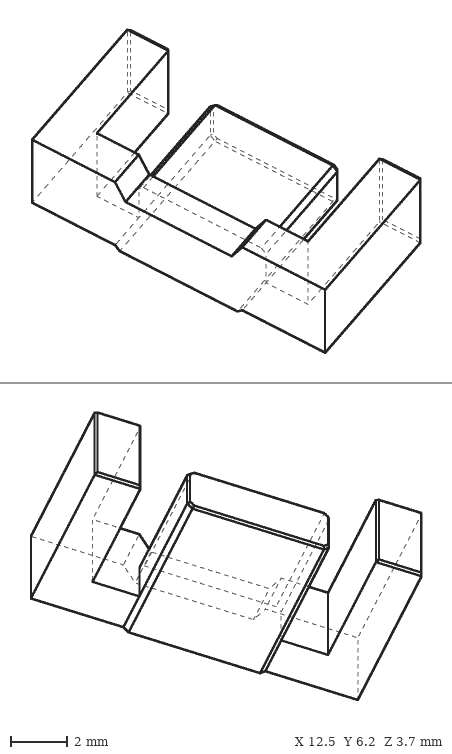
import cadquery as cq
import math

length = 12.5
depth = 6.2
height = 3.7

back_thickness = 1.52
outer_leg_width = 1.75
centre_leg_width = 5.42
centre_leg_height = 2.0
centre_leg_bevel = 0.2
centre_leg_drop = 0.2

notch_depth = 0.8
notch_side_run = 0.45

tip_length = 0.1
tip_inset = 0.08

half_length = length / 2
half_centre = centre_leg_width / 2


def bevelled_leg(width, base, top, centre_x, long_bevel=0.0):
    """Leg along +Y, with optional long-edge bevels and a bevelled free end."""
    leg = (
        cq.Workplane("XY")
        .box(width, depth - tip_length, top - base, centered=(True, False, False))
        .translate((centre_x, 0, base))
    )
    if long_bevel > 0:
        leg = leg.edges("|Y").chamfer(long_bevel)
    tip_taper = math.degrees(math.atan(tip_inset / tip_length))
    return leg.faces(">Y").wires().toPending().workplane().extrude(tip_length, taper=tip_taper)


def notched_back():
    """Back wall across all three legs, with a sloped notch in its top."""
    notch_floor = height - notch_depth
    half_floor = half_centre - notch_side_run
    return (
        cq.Workplane("XZ")
        .polyline([
            (-half_length, centre_leg_drop),
            (half_length, centre_leg_drop),
            (half_length, height),
            (half_centre, height),
            (half_floor, notch_floor),
            (-half_floor, notch_floor),
            (-half_centre, height),
            (-half_length, height),
        ])
        .close()
        .extrude(-back_thickness)
    )


result = notched_back().union(
    bevelled_leg(centre_leg_width, 0, centre_leg_height, 0, centre_leg_bevel)
)
outer_leg_x = half_length - outer_leg_width / 2
for side in (-1, 1):
    result = result.union(
        bevelled_leg(outer_leg_width, centre_leg_drop, height, side * outer_leg_x)
    )
result = result.clean()